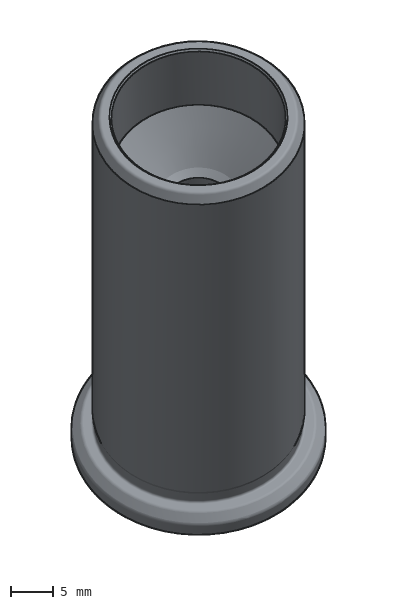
import cadquery as cq
import math

total_height = 60.0
flange_radius = 15.0

tube_radius = 25.0 / 2
rim_taper_height = 1.15
rim_taper_inset = 0.85
rim_round = 0.5

flange_height = 4.1
flange_chamfer = 1.2
flange_top_chamfer_height = 1.0
flange_round = 0.5
groove_radius = 24.7 / 2
groove_fillet = 0.3
groove_straight_top = 5.65
groove_top = 6.1

bore_radius = 20.5 / 2
bore_edge_chamfer = 0.25
bore_depth = 10.0
funnel_end_radius = 10.0 / 2
funnel_end_height = total_height - bore_depth - (bore_radius - funnel_end_radius)
hole_radius = 7.9 / 2
throat_slope = 30.0
throat_drop = (funnel_end_radius - hole_radius) * math.tan(math.radians(throat_slope))
throat_height = funnel_end_height - throat_drop


def round_edge(body, radius, height, round_radius):
    """Fillet the circular edge through (radius, 0, height)."""
    margin = 0.05
    reach = radius + margin
    near_height = cq.selectors.BoxSelector(
        (-reach, -reach, height - margin),
        (reach, reach, height + margin),
        boundingbox=True,
    )
    edges = [
        edge
        for edge in body.edges("%CIRCLE").edges(near_height).vals()
        if abs(edge.radius() - radius) < margin
    ]
    return body.newObject(edges).fillet(round_radius)


def outer_body():
    """Solid of revolution bounded by the outside surface."""
    profile = (
        cq.Workplane("XZ")
        .moveTo(0, 0)
        .lineTo(flange_radius - flange_chamfer, 0)
        .lineTo(flange_radius, flange_chamfer)
        .lineTo(flange_radius, flange_height - flange_top_chamfer_height)
        .lineTo(flange_radius - flange_chamfer, flange_height)
        .lineTo(groove_radius + groove_fillet, flange_height)
        .radiusArc((groove_radius, flange_height + groove_fillet), groove_fillet)
        .lineTo(groove_radius, groove_straight_top)
        .lineTo(tube_radius, groove_top)
        .lineTo(tube_radius, total_height - rim_taper_height)
        .lineTo(tube_radius - rim_taper_inset, total_height)
        .lineTo(0, total_height)
        .close()
    )
    body = profile.revolve(360, (0, 0, 0), (0, 1, 0))
    body = round_edge(body, tube_radius - rim_taper_inset, total_height, rim_round)
    body = round_edge(body, flange_radius - flange_chamfer, flange_height, flange_round)
    body = round_edge(body, flange_radius, flange_height - flange_top_chamfer_height, flange_round)
    return round_edge(body, flange_radius, flange_chamfer, flange_round)


def bore():
    """Solid of revolution removed from the inside."""
    profile = (
        cq.Workplane("XZ")
        .moveTo(0, 0)
        .lineTo(hole_radius, 0)
        .lineTo(hole_radius, throat_height)
        .lineTo(funnel_end_radius, funnel_end_height)
        .lineTo(bore_radius, total_height - bore_depth)
        .lineTo(bore_radius, total_height - bore_edge_chamfer)
        .lineTo(bore_radius + bore_edge_chamfer, total_height)
        .lineTo(0, total_height)
        .close()
    )
    return profile.revolve(360, (0, 0, 0), (0, 1, 0))


result = outer_body().cut(bore())